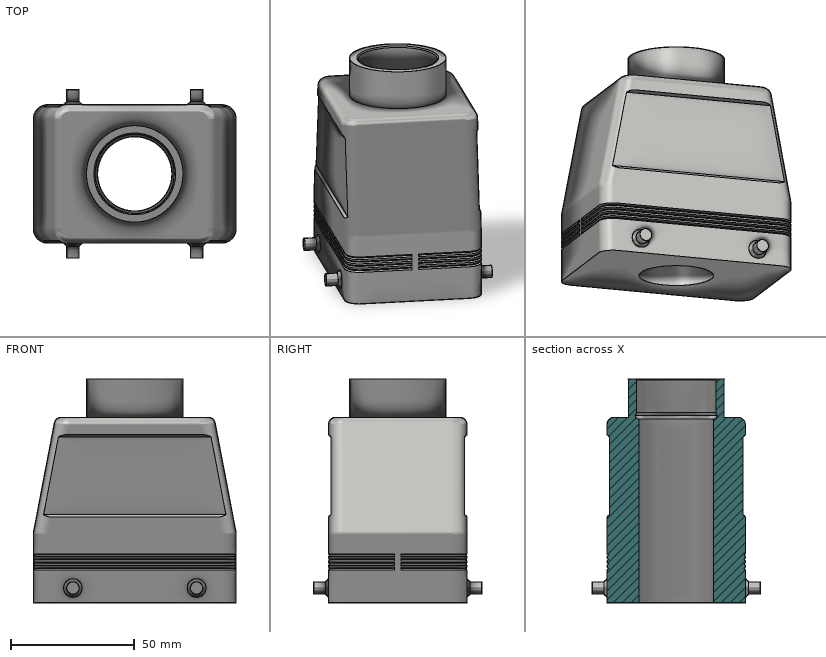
import math

import cadquery as cq

LENGTH = 82.0
WIDTH = 56.0
BODY_HEIGHT = 75.0
SKIRT_HEIGHT = 28.2
SIDE_INSET = 8.95
CORNER_RADIUS = 6.0
TOP_RADIUS = 3.0
SHOULDER_RADIUS = 5.0
SHOULDER_BAND = 1.0

RECESS_DEPTH = 1.0
RECESS_BOTTOM = 34.7
RECESS_TOP = 68.0

GROOVE_COUNT = 4
GROOVE_PITCH = 1.8
GROOVE_DEPTH = 0.55
GROOVE_WALL_ANGLE = 45.0
FIRST_GROOVE_HEIGHT = 13.9
BRIDGE_WIDTH = 2.8

COLLAR_HEIGHT = 15.5
COLLAR_RADIUS = 19.5
COLLAR_TOP = BODY_HEIGHT + COLLAR_HEIGHT
BORE_RADIUS = 16.0
THROUGH_RADIUS = 15.0
MOUTH_CHAMFER = 0.5
RELIEF_FLARE = 0.5
RELIEF_RADIUS = BORE_RADIUS + RELIEF_FLARE
RELIEF_TAPER_HEIGHT = 1.1
LEDGE_RADIUS = RELIEF_RADIUS - THROUGH_RADIUS
LEDGE_HEIGHT = 74.3

PIN_TIP = 34.0
PIN_RADIUS = 2.5
PIN_SPACING = 50.0
PIN_HEIGHT = 6.0
PIN_CONE = 1.25

HALF_LENGTH = LENGTH / 2
HALF_WIDTH = WIDTH / 2


def make_body():
    """Solid hood with rounded corners, top and shoulder bend."""
    top_half = HALF_LENGTH - SIDE_INSET
    body = (
        cq.Workplane("XZ")
        .moveTo(-HALF_LENGTH, 0)
        .lineTo(HALF_LENGTH, 0)
        .lineTo(HALF_LENGTH, SKIRT_HEIGHT)
        .lineTo(top_half, BODY_HEIGHT)
        .lineTo(-top_half, BODY_HEIGHT)
        .lineTo(-HALF_LENGTH, SKIRT_HEIGHT)
        .close()
        .extrude(HALF_WIDTH, both=True)
    )
    body = body.faces("<Y or >Y").edges("not |X").fillet(CORNER_RADIUS)
    body = body.faces(">Z").edges().fillet(TOP_RADIUS)
    shoulder = cq.selectors.BoxSelector(
        (-LENGTH, -WIDTH, SKIRT_HEIGHT - SHOULDER_BAND),
        (LENGTH, WIDTH, SKIRT_HEIGHT + SHOULDER_BAND),
    )
    return body.edges(shoulder).edges("|Y").fillet(SHOULDER_RADIUS)


def make_recess(side):
    """Cutter for the recess on the broad side facing side * Y."""
    outer = side * HALF_WIDTH
    inner = side * (HALF_WIDTH - RECESS_DEPTH)
    return (
        cq.Workplane("YZ")
        .moveTo(outer, RECESS_BOTTOM)
        .lineTo(inner, RECESS_BOTTOM + RECESS_DEPTH)
        .lineTo(inner, RECESS_TOP - RECESS_DEPTH)
        .lineTo(outer, RECESS_TOP)
        .close()
        .extrude(HALF_LENGTH, both=True)
    )


def skirt_outline(inset):
    """Rounded rectangle of the skirt, moved inward by inset."""
    return (
        cq.Sketch()
        .rect(LENGTH - 2 * inset, WIDTH - 2 * inset)
        .vertices()
        .fillet(CORNER_RADIUS - inset)
    )


def make_groove(height):
    """Ring-shaped V cutter centred on the given height, with a gap at each X side."""
    slab = cq.Workplane("XY", origin=(0, 0, height)).box(LENGTH, WIDTH, 2 * GROOVE_DEPTH)
    upper_core = (
        cq.Workplane("XY", origin=(0, 0, height))
        .placeSketch(skirt_outline(GROOVE_DEPTH))
        .extrude(GROOVE_DEPTH, taper=-GROOVE_WALL_ANGLE)
    )
    lower_core = upper_core.mirror("XY", (0, 0, height))
    bridge = (
        cq.Workplane("XY", origin=(0, 0, height))
        .box(LENGTH, BRIDGE_WIDTH, 2 * GROOVE_DEPTH)
    )
    return slab.cut(upper_core).cut(lower_core).cut(bridge)


def make_collar():
    return (
        cq.Workplane("XY", origin=(0, 0, BODY_HEIGHT))
        .circle(COLLAR_RADIUS)
        .extrude(COLLAR_HEIGHT)
    )


def make_bore():
    """Stepped bore: mouth chamfer, wide bore, flared relief, rounded ledge, through hole."""
    relief_height = LEDGE_HEIGHT + LEDGE_RADIUS
    arc_offset = LEDGE_RADIUS * math.sqrt(0.5)
    arc_middle = (THROUGH_RADIUS + arc_offset, relief_height - arc_offset)
    return (
        cq.Workplane("XZ")
        .lineTo(THROUGH_RADIUS, 0)
        .lineTo(THROUGH_RADIUS, LEDGE_HEIGHT)
        .threePointArc(arc_middle, (RELIEF_RADIUS, relief_height))
        .lineTo(BORE_RADIUS, relief_height + RELIEF_TAPER_HEIGHT)
        .lineTo(BORE_RADIUS, COLLAR_TOP - MOUTH_CHAMFER)
        .lineTo(BORE_RADIUS + MOUTH_CHAMFER, COLLAR_TOP)
        .lineTo(0, COLLAR_TOP)
        .close()
        .revolve(360, (0, 0, 0), (0, 1, 0))
    )


def make_pin(x, side):
    """Round pin with a conical root, pointing along side * Y."""
    root = HALF_WIDTH - CORNER_RADIUS
    cone_radius = PIN_RADIUS + PIN_CONE
    profile = (
        cq.Workplane("XY")
        .moveTo(0, root)
        .lineTo(cone_radius, root)
        .lineTo(cone_radius, HALF_WIDTH)
        .lineTo(PIN_RADIUS, HALF_WIDTH + PIN_CONE)
        .lineTo(PIN_RADIUS, PIN_TIP)
        .lineTo(0, PIN_TIP)
        .close()
    )
    pin = profile.revolve(360, (0, 0, 0), (0, 1, 0))
    if side < 0:
        pin = pin.mirror("XZ")
    return pin.translate((x, 0, PIN_HEIGHT))


result = make_body()
for side in (-1, 1):
    result = result.cut(make_recess(side))
for index in range(GROOVE_COUNT):
    result = result.cut(make_groove(FIRST_GROOVE_HEIGHT + index * GROOVE_PITCH))
result = result.union(make_collar()).cut(make_bore())
for side in (-1, 1):
    for x in (-PIN_SPACING / 2, PIN_SPACING / 2):
        result = result.union(make_pin(x, side))